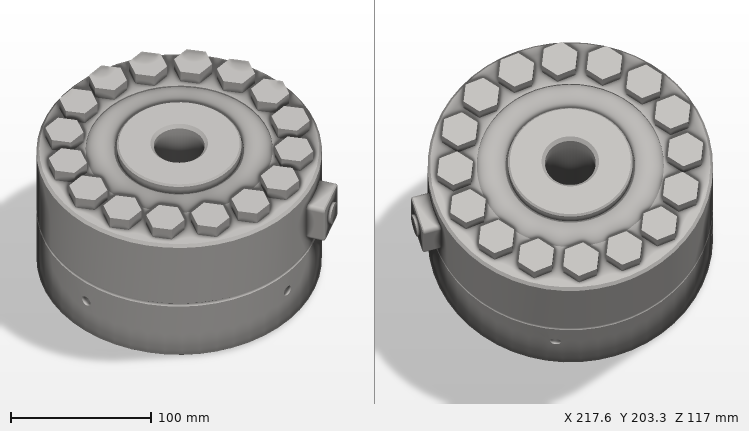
import cadquery as cq

body_diameter = 203.3
body_radius = body_diameter / 2
base_pad_diameter = 88.8
base_pad_height = 1.0
body_top = 107.7
top_chamfer = 2.0
bottom_chamfer = 1.3
groove_center_height = 50.5
groove_half_width = 1.5

recess_diameter = 133.2
recess_depth = 1.3
boss_diameter = 88.8
boss_rise = 5.7
boss_chamfer = 1.3
boss_groove_diameter = 92.3
boss_groove_depth = 1.0
bore_diameter = 36.1
bore_depth = 65.3
bore_chamfer = 2.5

bolt_count = 16
bolt_circle_radius = 82.3
hex_across_corners = 27.6
hex_turn = 7.5
overall_height = 117.0
hex_height = overall_height - body_top

side_hole_count = 4
side_hole_diameter = 7.8
side_hole_depth = 9.1
side_hole_height = 31.8
side_hole_start_angle = -22.5

overall_length = 217.6
connector_end = overall_length - body_radius
housing_end = 113.8
housing_width = 31.1
housing_corner_radius = 3.0
housing_end_chamfer = 0.9
housing_center_height = 79.0
socket_diameter = 15.9
connector_embedment = 10.9
connector_root = body_radius - connector_embedment


def make_body():
    """Turned profile of the housing, its base pad and its V groove."""
    outline = [
        (0, 0),
        (base_pad_diameter / 2, 0),
        (base_pad_diameter / 2, base_pad_height),
        (body_radius - bottom_chamfer, base_pad_height),
        (body_radius, base_pad_height + bottom_chamfer),
        (body_radius, groove_center_height - groove_half_width),
        (body_radius - groove_half_width, groove_center_height),
        (body_radius, groove_center_height + groove_half_width),
        (body_radius, body_top - top_chamfer),
        (body_radius - top_chamfer, body_top),
        (0, body_top),
    ]
    return cq.Workplane("XZ").polyline(outline).close().revolve(360, (0, 0), (0, 1))


def disc(diameter, bottom, top):
    """Cylinder on the main axis between two heights."""
    return cq.Workplane("XY").workplane(offset=bottom).circle(diameter / 2).extrude(top - bottom)


def shape_top(body):
    """Sink the top face, then add the boss, the groove around it and its bore."""
    recess_floor = body_top - recess_depth
    groove_floor = recess_floor - boss_groove_depth
    boss_top = body_top + boss_rise
    boss = disc(boss_diameter, groove_floor, boss_top).faces(">Z").chamfer(boss_chamfer)
    bore = disc(bore_diameter, boss_top - bore_depth, boss_top)
    bore_mouth = (
        cq.Workplane("XY")
        .workplane(offset=boss_top - bore_chamfer)
        .circle(bore_diameter / 2)
        .workplane(offset=bore_chamfer)
        .circle(bore_diameter / 2 + bore_chamfer)
        .loft()
    )
    return (
        body.cut(disc(recess_diameter, recess_floor, body_top))
        .cut(disc(boss_groove_diameter, groove_floor, recess_floor))
        .union(boss)
        .cut(bore)
        .cut(bore_mouth)
    )


def make_bolt_heads():
    """Hexagonal heads standing on the rim of the top face."""
    head = (
        cq.Workplane("XY")
        .polygon(6, hex_across_corners)
        .extrude(hex_height)
        .rotate((0, 0, 0), (0, 0, 1), hex_turn)
    )
    pitch = 360 / bolt_count
    return (
        cq.Workplane("XY")
        .workplane(offset=body_top)
        .polarArray(bolt_circle_radius, pitch / 2, 360, bolt_count, rotate=False)
        .eachpoint(lambda place: head.val().moved(place))
    )


def make_side_holes():
    """Radial blind holes, made as cylinders that start at the outer wall."""
    hole = (
        cq.Workplane("YZ")
        .workplane(offset=body_radius - side_hole_depth)
        .center(0, side_hole_height)
        .circle(side_hole_diameter / 2)
        .extrude(side_hole_depth)
    )
    holes = cq.Workplane("XY")
    for index in range(side_hole_count):
        angle = side_hole_start_angle + index * 360 / side_hole_count
        holes.add(hole.rotate((0, 0, 0), (0, 0, 1), angle))
    return holes.combine()


def make_connector():
    """Square housing with rounded corners and a round socket on its end."""
    housing = (
        cq.Workplane("YZ")
        .workplane(offset=connector_root)
        .center(0, housing_center_height)
        .rect(housing_width, housing_width)
        .extrude(housing_end - connector_root)
        .edges("|X")
        .fillet(housing_corner_radius)
        .faces(">X")
        .chamfer(housing_end_chamfer)
    )
    socket = (
        cq.Workplane("YZ")
        .workplane(offset=connector_root)
        .center(0, housing_center_height)
        .circle(socket_diameter / 2)
        .extrude(connector_end - connector_root)
    )
    return housing.union(socket)


result = (
    shape_top(make_body())
    .union(make_bolt_heads())
    .cut(make_side_holes())
    .union(make_connector())
)